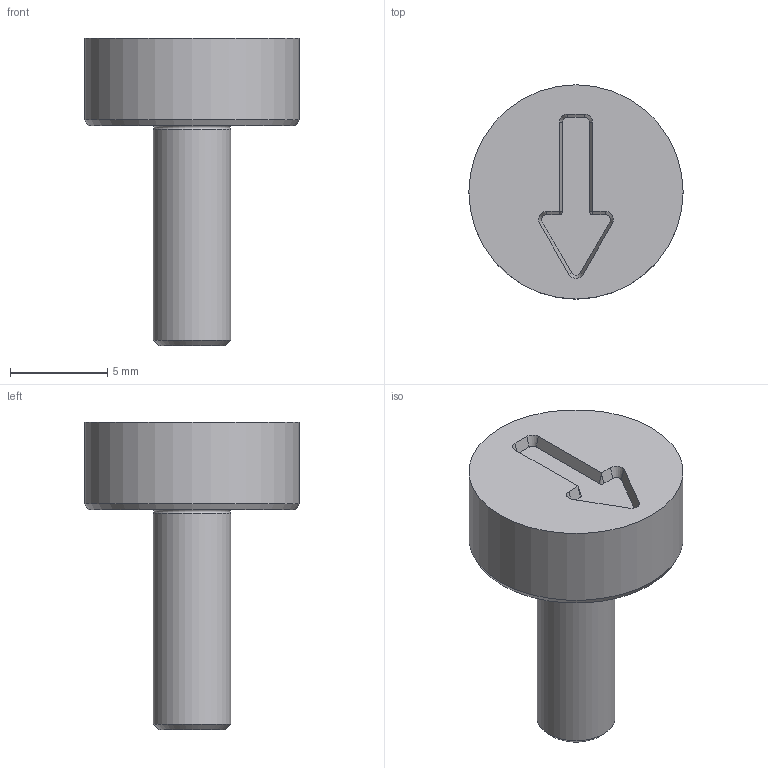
import cadquery as cq
import math

head_diameter = 11.0
head_height = 4.5
head_chamfer_height = 0.3
head_chamfer_angle = 30.0
head_chamfer_width = head_chamfer_height * math.tan(math.radians(head_chamfer_angle))

stem_diameter = 4.0
total_height = 15.8
stem_chamfer = 0.3

groove_height = 0.18
groove_depth = 0.07

arrow_depth = 0.6
arrow_draft_angle = 15.0
arrow_corner_radius = 0.42
shaft_width = 1.7
shaft_end_y = 4.0
shoulder_y = -1.0
arrowhead_width = 4.46
arrowhead_tip_angle = 60.0


def make_head():
    """Disc with a chamfered lower rim."""
    radius = head_diameter / 2
    half_profile = [
        (0, 0),
        (radius - head_chamfer_width, 0),
        (radius, head_chamfer_height),
        (radius, head_height),
        (0, head_height),
    ]
    return cq.Workplane("XZ").polyline(half_profile).close().revolve(360, (0, 0), (0, 1))


def make_stem():
    """Pin below the head with a chamfered free end."""
    stem_length = total_height - head_height
    pin = cq.Workplane("XY").circle(stem_diameter / 2).extrude(-stem_length)
    return pin.faces("<Z").edges().chamfer(stem_chamfer)


def make_neck_groove():
    """Ring with an arc-shaped inner side that relieves the top of the stem."""
    radius = stem_diameter / 2
    section = (
        cq.Workplane("XZ")
        .moveTo(radius, 0)
        .threePointArc((radius - groove_depth, -groove_height / 2), (radius, -groove_height))
        .close()
    )
    return section.revolve(360, (0, 0), (0, 1))


def arrow_prism():
    """Straight arrow, as tall as the head, with rounded outer corners and sharp inner corners."""
    half_shaft = shaft_width / 2
    half_head = arrowhead_width / 2
    tip_y = shoulder_y - half_head / math.tan(math.radians(arrowhead_tip_angle / 2))
    outline = [
        (half_shaft, shaft_end_y),
        (half_shaft, shoulder_y),
        (half_head, shoulder_y),
        (0, tip_y),
        (-half_head, shoulder_y),
        (-half_shaft, shoulder_y),
        (-half_shaft, shaft_end_y),
    ]
    prism = cq.Workplane("XY").polyline(outline).close().extrude(head_height)
    rounded_corners = prism.edges("|Z and (>Y or <Y or >X or <X)")
    return rounded_corners.fillet(arrow_corner_radius)


def make_arrow_cutter():
    """Arrow that narrows downwards from the top face of the head."""
    outline = arrow_prism().faces(">Z").wires()
    return outline.toPending().extrude(-arrow_depth, combine=False, taper=arrow_draft_angle)


result = make_head().union(make_stem()).cut(make_neck_groove()).cut(make_arrow_cutter())